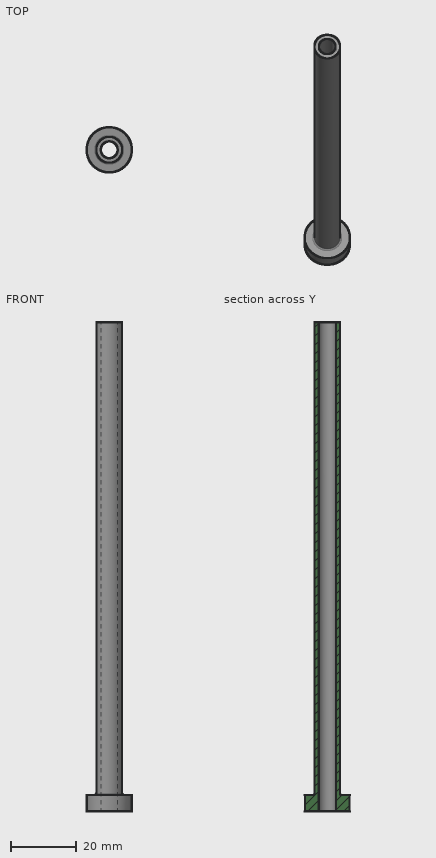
import cadquery as cq

total_length = 150.0
head_diameter = 14.0
head_height = 5.1
tube_diameter = 8.0
bore_diameter = 5.1
root_fillet = 0.5

tube_radius = tube_diameter / 2
head_radius = head_diameter / 2


def sleeve_body():
    """Revolve the head, the filleted root and the tube as one solid about Z."""
    profile = (
        cq.Workplane("XZ")
        .lineTo(head_radius, 0)
        .lineTo(head_radius, head_height)
        .lineTo(tube_radius + root_fillet, head_height)
        .radiusArc((tube_radius, head_height + root_fillet), root_fillet)
        .lineTo(tube_radius, total_length)
        .lineTo(0, total_length)
        .close()
    )
    return profile.revolve(360, (0, 0, 0), (0, 1, 0))


def through_bore():
    """Straight bore along the full length."""
    return cq.Workplane("XY").circle(bore_diameter / 2).extrude(total_length)


result = sleeve_body().cut(through_bore())